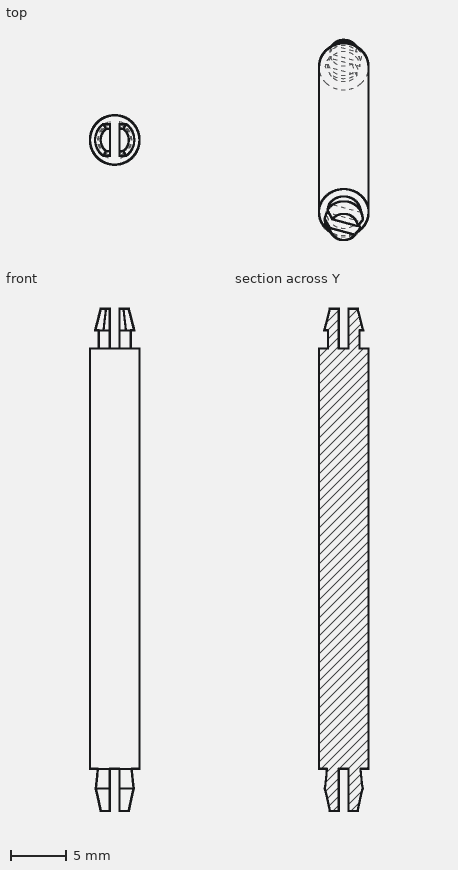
import cadquery as cq

total_length = 45.5
body_diameter = 4.5
slot_width = 0.85

upper_pin_length = 3.6
barb_length = 1.95
stem_radius = 1.45
barb_base_radius = 1.77
barb_tip_radius = 1.27
flat_base_half_width = stem_radius
flat_tip_half_width = 1.0

lower_pin_length = 3.8
shoulder_depth = 1.77
lower_root_radius = 1.55
shoulder_radius = 1.75
lower_tip_radius = 1.27

body_length = total_length - upper_pin_length - lower_pin_length
stem_length = upper_pin_length - barb_length


def cone(base_z, top_z, base_radius, top_radius):
    """Truncated cone about the Z axis."""
    profile = [(0, base_z), (base_radius, base_z), (top_radius, top_z), (0, top_z)]
    return cq.Workplane("XZ").polyline(profile).close().revolve(360, (0, 0), (0, 1))


def split(pin, base_z, length):
    """Cut the slot that divides a pin into two prongs."""
    slot = (
        cq.Workplane("XY", origin=(0, 0, base_z))
        .rect(slot_width, body_diameter)
        .extrude(length)
    )
    return pin.cut(slot)


def make_upper_pin():
    barb_z = body_length + stem_length
    tip_z = body_length + upper_pin_length
    stem = cq.Workplane("XY", origin=(0, 0, body_length)).circle(stem_radius).extrude(stem_length)

    wedge = (
        cq.Workplane("YZ")
        .polyline([
            (-flat_base_half_width, barb_z),
            (flat_base_half_width, barb_z),
            (flat_tip_half_width, tip_z),
            (-flat_tip_half_width, tip_z),
        ])
        .close()
        .extrude(body_diameter, both=True)
    )
    head = cone(barb_z, tip_z, barb_base_radius, barb_tip_radius).intersect(wedge)
    return split(stem.union(head), body_length, upper_pin_length)


def make_lower_pin():
    root = cone(-shoulder_depth, 0, shoulder_radius, lower_root_radius)
    tip = cone(-lower_pin_length, -shoulder_depth, lower_tip_radius, shoulder_radius)
    return split(root.union(tip), -lower_pin_length, lower_pin_length)


body = cq.Workplane("XY").circle(body_diameter / 2).extrude(body_length)
result = body.union(make_upper_pin()).union(make_lower_pin())